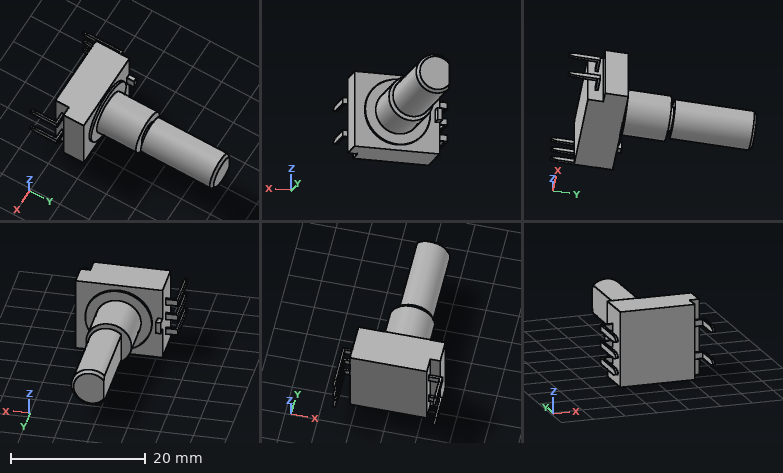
import cadquery as cq


body_left = -6.6
body_right = 6.6
body_height = 11.7
body_depth = 5.82
step_width = 1.5
step_y = -3.5

tab_width = 0.73
tab_length = 1.22
tab_height = 1.85

collar_radius = 5.05
collar_top = 0.35
bushing_radius = 3.45
bushing_top = 7.1
neck_radius = 1.78
neck_top = 7.72
shaft_radius = 3.0
shaft_top = 20.03
shaft_chamfer = 0.45
flat_offset = 2.05

overall_length = 29.12
pin_tip_y = shaft_top - overall_length
pin_thickness = 0.38
pin_width = 1.0
pin_pitch = 2.53
pin_tip_length = 0.87
pin_tip_width = 0.58
pin_nose_length = 0.25
left_pin_outer_x = -8.47
left_pin_top_y = -2.18
right_pin_outer_x = 7.13
right_pin_top_y = -4.3


def block(x_min, x_max, y_min, y_max, height):
    """Box of the given X and Y limits, centred on Z = 0."""
    return (
        cq.Workplane("XY")
        .box(x_max - x_min, y_max - y_min, height, centered=(False, False, True))
        .translate((x_min, y_min, 0))
    )


def cylinder(radius, y_start, y_end):
    """Cylinder on the shaft axis."""
    return cq.Workplane("XZ", origin=(0, y_start, 0)).circle(radius).extrude(y_start - y_end)


def make_body():
    """Housing with a step along its right edge and a tab at its left edge."""
    housing = block(body_left, body_right, -body_depth, 0, body_height)
    step = block(body_right - step_width, body_right, -body_depth, step_y, body_height)
    tab = block(body_left, body_left + tab_width, step_y, tab_length, tab_height)
    return housing.cut(step).union(tab)


def make_shaft():
    """D-shaped shaft with a chamfered end."""
    shaft = cylinder(shaft_radius, neck_top, shaft_top).faces(">Y").chamfer(shaft_chamfer)
    flat_cut = block(-shaft_radius, -flat_offset, neck_top, shaft_top, 2 * shaft_radius)
    return shaft.cut(flat_cut)


def make_pin(root_x, outer_x, top_y, z):
    """L-shaped pin leaving the body sideways, with a tapered, rounded tip."""
    inner_x = outer_x + pin_thickness if outer_x < root_x else outer_x - pin_thickness
    x_min = min(outer_x, inner_x)
    arm = block(min(root_x, outer_x), max(root_x, outer_x), top_y - pin_thickness, top_y, pin_width)
    half_width = pin_width / 2
    half_tip = pin_tip_width / 2
    taper_y = pin_tip_y + pin_tip_length
    nose_y = pin_tip_y + pin_nose_length
    leg = (
        cq.Workplane("YZ", origin=(x_min, 0, 0))
        .moveTo(top_y, -half_width)
        .lineTo(taper_y, -half_width)
        .lineTo(nose_y, -half_tip)
        .threePointArc((pin_tip_y, 0), (nose_y, half_tip))
        .lineTo(taper_y, half_width)
        .lineTo(top_y, half_width)
        .close()
        .extrude(pin_thickness)
    )
    return arm.union(leg).translate((0, 0, z))


result = (
    make_body()
    .union(cylinder(collar_radius, 0, collar_top))
    .union(cylinder(bushing_radius, 0, bushing_top))
    .union(cylinder(neck_radius, 0, neck_top))
    .union(make_shaft())
)

for row in (-1, 0, 1):
    result = result.union(make_pin(body_left, left_pin_outer_x, left_pin_top_y, row * pin_pitch))
right_root_x = body_right - step_width
for row in (-1, 1):
    result = result.union(make_pin(right_root_x, right_pin_outer_x, right_pin_top_y, row * pin_pitch))